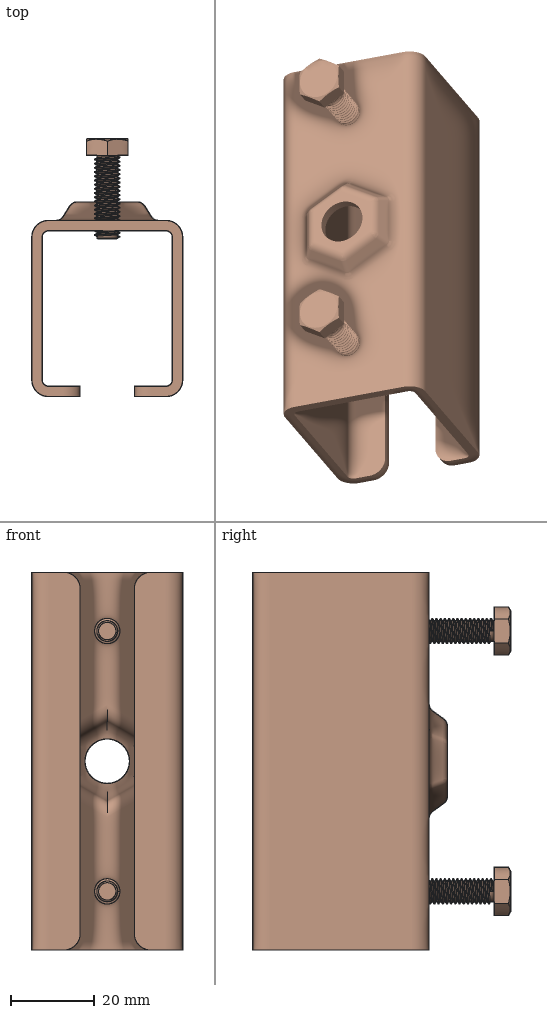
import cadquery as cq
import math


channel_length = 90.0
channel_width = 36.0
channel_depth = 42.0
wall = 2.5
bend_radius = 4.05
slot_width = 12.9
lip_corner_radius = 4.0

dome_height = 4.4
dome_base_half = 11.1
dome_slope = 58.0
dome_corner_radius = 1.6
dome_crown_radius = 2.3
dome_foot_radius = 1.7
dome_hole_diameter = 10.5

recess_mouth_half = 9.2
recess_slope = 70.0
recess_mouth_radius = 3.3
recess_floor_radius = 2.8
recess_skirt_half = 13.5
recess_skirt_thickness = 0.9

bolt_spacing = 62.0
head_across_flats = 10.0
head_top_diameter = 9.5
head_height = 4.0
head_top_y = 19.4
shank_length = 20.0
core_diameter = 4.95
tip_diameter = 4.1
bevel_angle = 30.0
tapped_hole_diameter = 5.0

thread_diameter = 6.0
thread_turns = 19
thread_root_share = 0.75
thread_crest_share = 0.13

hex_corner_factor = 2 / math.sqrt(3)
bolt_heights = [-bolt_spacing / 2, bolt_spacing / 2]
head_seat_y = head_top_y - head_height


def channel_shell():
    """Bent C-section with rounded corners at the ends of both lips."""
    outer = (
        cq.Workplane("XY")
        .box(channel_width, channel_depth, channel_length)
        .edges("|Z")
        .fillet(bend_radius)
    )
    inner = (
        cq.Workplane("XY")
        .box(channel_width - 2 * wall, channel_depth - 2 * wall, channel_length)
        .edges("|Z")
        .fillet(bend_radius - wall)
    )
    shell = outer.cut(inner).translate((0, -channel_depth / 2, 0))
    slot = (
        cq.Workplane("XY")
        .box(slot_width, 2 * wall, channel_length)
        .translate((0, -channel_depth, 0))
    )
    lip_corners = cq.selectors.BoxSelector(
        (-slot_width, -channel_depth - wall, -channel_length),
        (slot_width, -channel_depth + 2 * wall, channel_length),
    )
    return shell.cut(slot).edges("|Y").edges(lip_corners).fillet(lip_corner_radius)


def add_dome(shell):
    """Add a tapered hexagon, corners toward +Z and -Z, with rounded corners, crown and foot."""
    dome = (
        cq.Workplane("XZ")
        .polygon(6, 2 * dome_base_half * hex_corner_factor)
        .extrude(-dome_height, taper=90 - dome_slope)
        .rotate((0, 0, 0), (0, 1, 0), 30)
    )
    dome = dome.edges("not(<Y or >Y)").fillet(dome_corner_radius)
    dome = dome.edges(">Y").fillet(dome_crown_radius)
    reach = dome_base_half * hex_corner_factor
    foot = cq.selectors.BoxSelector((-reach, -wall / 2, -reach), (reach, wall / 2, reach))
    return shell.union(dome).edges(foot).fillet(dome_foot_radius)


def dome_recess():
    """Hexagonal hollow behind the dome, on a skirt that lies in the open space of the channel.

    Three ridges of the same section, turned 60 degrees apart, are intersected,
    so the rounded mouth and floor meet in mitres at the six corners.
    """
    slope = math.radians(recess_slope)
    mouth_y = -wall
    floor_y = mouth_y + dome_height
    skirt_y = mouth_y - recess_skirt_thickness
    floor_half = recess_mouth_half - dome_height / math.tan(slope)
    mouth_tangent = recess_mouth_radius * math.tan(slope / 2)
    floor_tangent = recess_floor_radius * math.tan(slope / 2)
    mouth_arc_end = (
        recess_mouth_half - mouth_tangent * math.cos(slope),
        mouth_y + mouth_tangent * math.sin(slope),
    )
    floor_arc_start = (
        floor_half + floor_tangent * math.cos(slope),
        floor_y - floor_tangent * math.sin(slope),
    )
    ridge = (
        cq.Workplane("XY")
        .moveTo(0, skirt_y)
        .lineTo(recess_skirt_half, skirt_y)
        .lineTo(recess_skirt_half, mouth_y)
        .lineTo(recess_mouth_half + mouth_tangent, mouth_y)
        .tangentArcPoint(mouth_arc_end, relative=False)
        .lineTo(*floor_arc_start)
        .tangentArcPoint((floor_half - floor_tangent, floor_y), relative=False)
        .lineTo(0, floor_y)
        .mirrorY()
        .extrude(2 * recess_skirt_half, both=True)
    )
    recess = ridge
    for turn in (60, 120):
        recess = recess.intersect(ridge.rotate((0, 0, 0), (0, 1, 0), turn))
    return recess


def cylinder_along_y(diameter, y_start, y_end, z):
    return (
        cq.Workplane("XZ", origin=(0, y_start, z))
        .circle(diameter / 2)
        .extrude(y_start - y_end)
    )


def bevelled_rod(diameter, end_diameter, length):
    """Rod from Y = 0 toward +Y whose far end is bevelled down to end_diameter."""
    radius = diameter / 2
    end_radius = end_diameter / 2
    bevel_drop = (radius - end_radius) * math.tan(math.radians(bevel_angle))
    return (
        cq.Workplane("XY")
        .lineTo(radius, 0)
        .lineTo(radius, length - bevel_drop)
        .lineTo(end_radius, length)
        .lineTo(0, length)
        .close()
        .revolve(360, (0, 0), (0, 1))
    )


def bevelled_shank(diameter):
    """Rod from the head seat at Y = 0 to the bevelled bolt tip on the -Y side."""
    return bevelled_rod(diameter, tip_diameter, shank_length).rotate((0, 0, 0), (1, 0, 0), 180)


def make_channel(threads):
    """Channel with its pressed dome, the dome hole and a tapped hole for each bolt thread."""
    channel = add_dome(channel_shell()).cut(dome_recess())
    channel = channel.cut(cylinder_along_y(dome_hole_diameter, -wall, dome_height, 0))
    for z, thread in zip(bolt_heights, threads):
        channel = channel.cut(cylinder_along_y(tapped_hole_diameter, -wall, 0, z))
        channel = channel.cut(thread)
    return channel


def make_bolt(z):
    """Hexagon head with a bevelled top, and a round core for the thread."""
    across_corners = head_across_flats * hex_corner_factor
    head = (
        cq.Workplane("XZ")
        .polygon(6, across_corners)
        .extrude(-head_height)
        .rotate((0, 0, 0), (0, 1, 0), 30)
        .intersect(bevelled_rod(across_corners, head_top_diameter, head_height))
    )
    bolt = head.union(bevelled_shank(core_diameter))
    return bolt.translate((0, head_seat_y, z))


def make_thread(z):
    """Right-handed ridge wound around a bolt core, trimmed by the bevel of the tip."""
    pitch = shank_length / (thread_turns + 1)
    root_radius = core_diameter / 2
    crest_radius = thread_diameter / 2
    root_half = pitch * thread_root_share / 2
    crest_half = pitch * thread_crest_share / 2
    helix = cq.Wire.makeHelix(pitch, thread_turns * pitch, root_radius)
    ridge = (
        cq.Workplane("XZ")
        .polyline([
            (root_radius, -root_half),
            (crest_radius, -crest_half),
            (crest_radius, crest_half),
            (root_radius, root_half),
        ])
        .close()
        .sweep(cq.Workplane(obj=helix), isFrenet=True)
        .rotate((0, 0, 0), (1, 0, 0), 90)
        .translate((0, -pitch / 2, 0))
    )
    trim_diameter = 2 * thread_diameter - core_diameter
    ridge = ridge.intersect(bevelled_shank(trim_diameter))
    return ridge.translate((0, head_seat_y, z))


bolts = [make_bolt(z) for z in bolt_heights]
threads = [make_thread(z) for z in bolt_heights]
channel = make_channel(threads)

result = cq.Compound.makeCompound([
    channel.val(),
    *[bolt.val() for bolt in bolts],
    *[thread.val() for thread in threads],
])